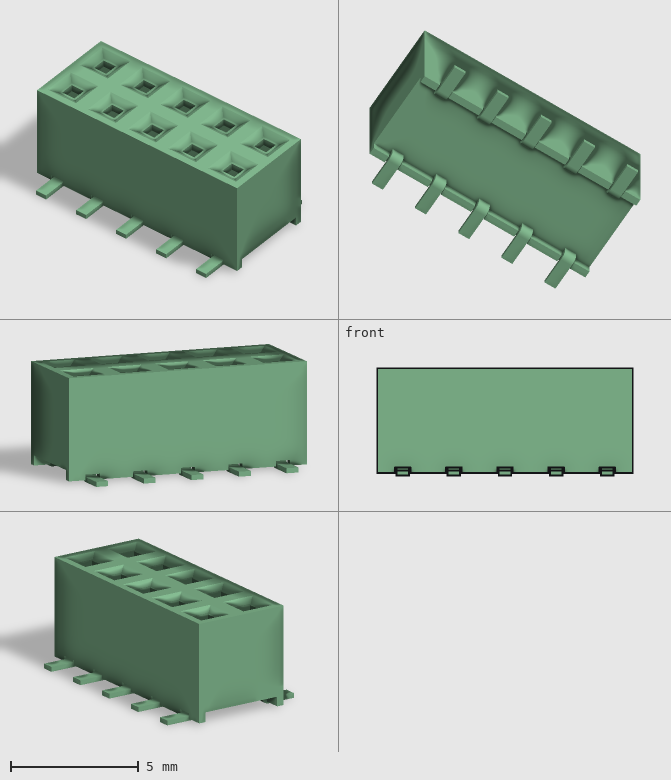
import cadquery as cq

columns = 5
pitch = 2.0

housing_length = columns * pitch
housing_width = 2 * pitch
housing_top = 4.2
housing_bottom = 0.1
recess_ceiling = 0.5
skirt_thickness = 0.3
recess_width = housing_width - 2 * skirt_thickness

notch_width = 0.6
notch_top = 0.32

funnel_mouth = 1.4
funnel_throat = 0.8
funnel_depth = 0.2
socket_size = 0.6
socket_depth = 0.3

lead_width = 0.5
lead_thickness = 0.2
inner_bend_radius = 0.1
outer_bend_radius = inner_bend_radius + lead_thickness
leg_outer_y = recess_width / 2
leg_inner_y = leg_outer_y - lead_thickness
leg_embed = 0.1
foot_span = 6.0

column_positions = [(i - (columns - 1) / 2) * pitch for i in range(columns)]
socket_centers = [(x, y) for x in column_positions for y in (-pitch / 2, pitch / 2)]


def make_housing():
    """Block with a full-length underside recess and notched side skirts."""
    block = cq.Workplane("XY").workplane(offset=housing_bottom).rect(housing_length, housing_width)
    block = block.extrude(housing_top - housing_bottom)
    recess = cq.Workplane("XY").rect(housing_length, recess_width).extrude(recess_ceiling)
    notches = (
        cq.Workplane("XY")
        .pushPoints([(x, 0) for x in column_positions])
        .rect(notch_width, housing_width)
        .extrude(notch_top)
    )
    return block.cut(recess).cut(notches)


def make_socket(x, y):
    """Tapered lead-in above a square blind socket."""
    throat_z = housing_top - funnel_depth
    funnel = (
        cq.Workplane("XY", origin=(x, y, throat_z))
        .rect(funnel_throat, funnel_throat)
        .workplane(offset=funnel_depth)
        .rect(funnel_mouth, funnel_mouth)
        .loft(ruled=True)
    )
    socket = (
        cq.Workplane("XY", origin=(x, y, throat_z - socket_depth))
        .rect(socket_size, socket_size)
        .extrude(socket_depth)
    )
    return funnel.union(socket)


def make_lead(x):
    """Lead on the +Y side: leg along the skirt wall, bent out into a flat foot."""
    leg_top = recess_ceiling + leg_embed
    foot_end = foot_span / 2
    bend_y = leg_inner_y + outer_bend_radius
    return (
        cq.Workplane("YZ", origin=(x - lead_width / 2, 0, 0))
        .moveTo(leg_inner_y, leg_top)
        .lineTo(leg_inner_y, outer_bend_radius)
        .radiusArc((bend_y, 0), -outer_bend_radius)
        .lineTo(foot_end, 0)
        .lineTo(foot_end, lead_thickness)
        .lineTo(bend_y, lead_thickness)
        .radiusArc((leg_outer_y, outer_bend_radius), inner_bend_radius)
        .lineTo(leg_outer_y, leg_top)
        .close()
        .extrude(lead_width)
    )


result = make_housing()

for center_x, center_y in socket_centers:
    result = result.cut(make_socket(center_x, center_y))

for column_x in column_positions:
    lead = make_lead(column_x)
    result = result.union(lead).union(lead.mirror("XZ"))